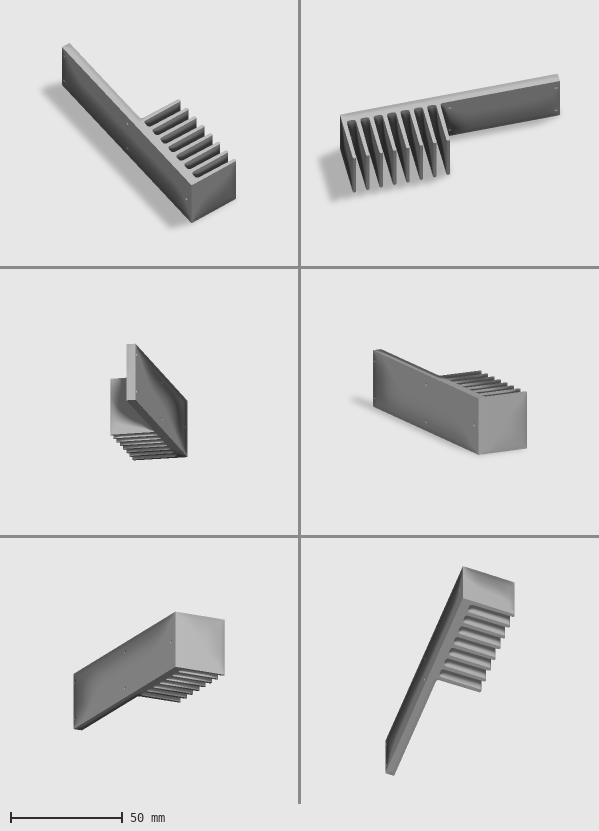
import cadquery as cq
import math

length = 100.0
depth = 25.0
height = 26.0
base_thickness = 4.2

fin_count = 8
fin_span = 43.0
fin_pitch = fin_span / (fin_count - 1)
fin_draft_angle = 0.5
tip_radius = 0.8
root_fillet = 1.2

hole_diameter = 1.6
left_hole_x = 1.7
middle_hole_x = 50.5
right_hole_x = 96.0
hole_row_spacing = 17.0

draft = math.radians(fin_draft_angle)
shoulder_half_width = tip_radius * math.cos(draft)
shoulder_y = depth - tip_radius + tip_radius * math.sin(draft)
root_half_width = shoulder_half_width + (shoulder_y - base_thickness) * math.tan(draft)

last_fin_x = length - root_half_width
fin_centers = [last_fin_x - i * fin_pitch for i in range(fin_count)]


def make_fin(center_x):
    """Return one tapered fin with a round tip, standing on the plate."""
    return (
        cq.Workplane("XY")
        .moveTo(center_x - root_half_width, base_thickness)
        .lineTo(center_x - shoulder_half_width, shoulder_y)
        .threePointArc((center_x, depth), (center_x + shoulder_half_width, shoulder_y))
        .lineTo(center_x + root_half_width, base_thickness)
        .close()
        .extrude(height)
    )


def fillet_fin_roots(body):
    """Round the inner corners where the fins meet the plate, leaving the right end flush."""
    margin = root_fillet / 2
    first_root_x = min(fin_centers) - root_half_width
    root_zone = cq.selectors.BoxSelector(
        (first_root_x - margin, base_thickness - margin, 0),
        (length - margin, base_thickness + margin, height),
    )
    return body.edges("|Z").edges(root_zone).fillet(root_fillet)


def make_holes():
    """Return the screw-hole cutters, running through the plate along Y."""
    upper_z = (height + hole_row_spacing) / 2
    lower_z = (height - hole_row_spacing) / 2
    centers = [(x, z) for x in (left_hole_x, middle_hole_x) for z in (lower_z, upper_z)]
    centers.append((right_hole_x, height / 2))
    return (
        cq.Workplane("XZ")
        .pushPoints(centers)
        .circle(hole_diameter / 2)
        .extrude(-base_thickness)
    )


plate = cq.Workplane("XY").box(length, base_thickness, height, centered=False)
for fin_x in fin_centers:
    plate = plate.union(make_fin(fin_x))

result = fillet_fin_roots(plate).cut(make_holes())